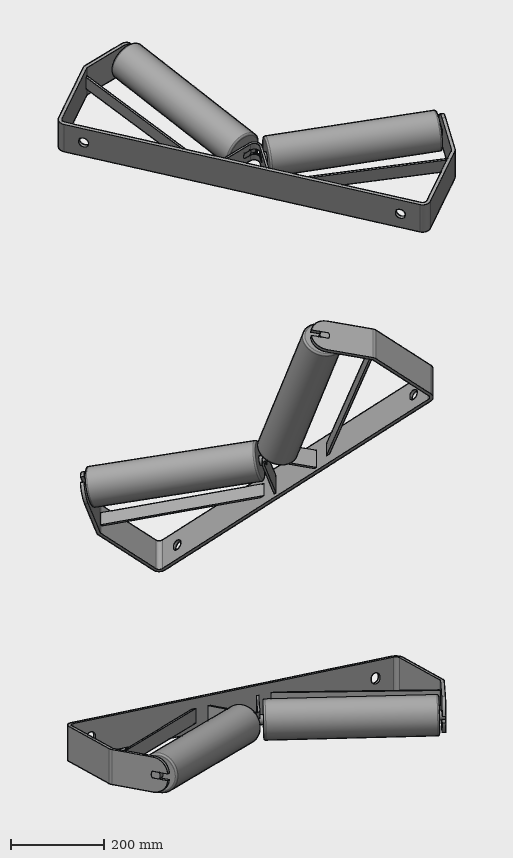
import cadquery as cq
import math

frame_width = 840.0
frame_height = 80.0
frame_thickness = 8.0
corner_radius = 18.0
arm_bend_radius = 15.0
arm_angle = 30.0
arm_bend_y = 188.0
arm_length = 140.0
arm_tip_radius = 35.0
mount_slot_width = 22.0
mount_slot_height = 25.0
mount_slot_inset = 62.0

bracket_thickness = 5.0
bracket_height = 48.0
bracket_bend_radius = 18.0
bracket_half_span = 64.0
bracket_slot_run = 23.0
bracket_slot_reach = 13.0

brace_thickness = 5.0
brace_height = 34.0
brace_foot_x = 94.0

roller_diameter = 89.0
roller_length = 377.0
roller_edge_radius = 4.0
roller_end_gap = 6.0
roller_tilt = 1.0
roller_axis_offset = 64.0
shaft_diameter = 22.0
shaft_flat_width = 15.0

sin_arm = math.sin(math.radians(arm_angle))
cos_arm = math.cos(math.radians(arm_angle))
tilt = math.radians(roller_tilt)

side_outer_x = frame_width / 2
side_inner_x = side_outer_x - frame_thickness
arm_outer = side_outer_x * cos_arm + arm_bend_y * sin_arm
arm_inner = arm_outer - frame_thickness
arm_inner_bend_y = (arm_inner - side_inner_x * cos_arm) / sin_arm
arm_tip = arm_bend_y * cos_arm - side_outer_x * sin_arm + arm_length

leg_outer = bracket_half_span * cos_arm + frame_thickness * sin_arm
leg_inner = leg_outer - bracket_thickness
bracket_z = -(arm_outer - leg_outer) * math.tan(tilt)

SIDES = (1, -1)


def on_side(body, side):
    """The body as built on the right (+X), or its mirror image on the left."""
    return body if side > 0 else body.mirror("YZ")


def along_arm(distance, offset):
    """XY point at a distance out along the right roller and an offset up along its arm."""
    return (distance * cos_arm - offset * sin_arm, distance * sin_arm + offset * cos_arm)


def mirrored_outline(points):
    """Symmetric outline from the points of its right half."""
    return points + [(-x, y) for x, y in reversed(points)]


def upright_plate(points, height):
    """Prism on an XY outline, centred on Z = 0."""
    return cq.Workplane("XY").polyline(points).close().extrude(height / 2, both=True)


def round_edge(body, point, radius):
    return body.edges(cq.selectors.NearestToPointSelector(point)).fillet(radius)


roller_plane = cq.Plane(
    origin=(*along_arm(arm_outer, roller_axis_offset), 0),
    xDir=(sin_arm, -cos_arm, 0),
    normal=(cos_arm * math.cos(tilt), sin_arm * math.cos(tilt), math.sin(tilt)),
)
arm_inner_end = arm_inner - arm_outer
leg_outer_end = leg_outer - arm_outer
leg_inner_end = leg_inner - arm_outer


def cylinder_on_axis(diameter, start, end):
    plane = cq.Workplane(roller_plane).workplane(offset=start)
    return plane.circle(diameter / 2).extrude(end - start)


def slab_on_axis(low, high, start, end):
    """Block as thick as the shaft flats, between two positions along the arm."""
    plane = cq.Workplane(roller_plane).workplane(offset=start)
    return plane.center((low + high) / 2, 0).rect(high - low, shaft_flat_width).extrude(end - start)


def flatted_shaft(start, end):
    flats = slab_on_axis(-shaft_diameter, shaft_diameter, start, end)
    return cylinder_on_axis(shaft_diameter, start, end).intersect(flats)


def shaft_slot(run, start, end):
    """Slot that seats the shaft flats and runs up along the arm from the shaft centre."""
    return flatted_shaft(start, end).union(slab_on_axis(-run, 0, start, end))


def make_roller():
    """Right roller: rounded drum on a round shaft whose two ends are flatted."""
    drum_outer_end = arm_inner_end - roller_end_gap
    drum = cylinder_on_axis(roller_diameter, drum_outer_end - roller_length, drum_outer_end)
    drum = drum.edges().fillet(roller_edge_radius)
    shoulder_gap = shaft_diameter * math.tan(tilt)
    shaft = cylinder_on_axis(shaft_diameter, leg_outer_end + shoulder_gap, arm_inner_end - shoulder_gap)
    return drum.union(shaft).union(flatted_shaft(leg_inner_end, 0))


def make_frame():
    frame = upright_plate(
        mirrored_outline([
            (side_outer_x, 0),
            (side_outer_x, arm_bend_y),
            along_arm(arm_outer, arm_tip),
            along_arm(arm_inner, arm_tip),
            (side_inner_x, arm_inner_bend_y),
            (side_inner_x, frame_thickness),
        ]),
        frame_height,
    )
    tip_x, tip_y = along_arm((arm_outer + arm_inner) / 2, arm_tip)
    slot_overrun = frame_thickness / 2
    arm_slot = shaft_slot(arm_length, arm_inner_end - slot_overrun, slot_overrun)
    for side in SIDES:
        outer_x = side * side_outer_x
        inner_x = side * side_inner_x
        frame = round_edge(frame, (outer_x, 0, 0), corner_radius)
        frame = round_edge(frame, (inner_x, frame_thickness, 0), corner_radius - frame_thickness)
        frame = round_edge(frame, (outer_x, arm_bend_y, 0), arm_bend_radius)
        frame = round_edge(frame, (inner_x, arm_inner_bend_y, 0), arm_bend_radius - frame_thickness)
        for z in (frame_height / 2, -frame_height / 2):
            frame = round_edge(frame, (side * tip_x, tip_y, z), arm_tip_radius)
        frame = frame.cut(on_side(arm_slot, side))

    mount_x = side_outer_x - mount_slot_inset
    mount_slots = (
        cq.Workplane("XZ")
        .pushPoints([(side * mount_x, 0) for side in SIDES])
        .slot2D(mount_slot_height, mount_slot_width, 90)
        .extrude(-frame_thickness)
    )
    return frame.cut(mount_slots)


def make_bracket():
    outer_peak_y = leg_outer / sin_arm
    inner_peak_y = leg_inner / sin_arm
    inner_foot_x = (leg_inner - frame_thickness * sin_arm) / cos_arm
    bracket = upright_plate(
        [
            (bracket_half_span, frame_thickness),
            (0, outer_peak_y),
            (-bracket_half_span, frame_thickness),
            (-inner_foot_x, frame_thickness),
            (0, inner_peak_y),
            (inner_foot_x, frame_thickness),
        ],
        bracket_height,
    )
    bracket = round_edge(bracket, (0, outer_peak_y, 0), bracket_bend_radius)
    bracket = round_edge(bracket, (0, inner_peak_y, 0), bracket_bend_radius - bracket_thickness)
    bracket = bracket.translate((0, 0, bracket_z))

    slot_overrun = bracket_thickness / 2
    leg_slot = shaft_slot(bracket_slot_run, leg_inner_end - bracket_slot_reach, leg_outer_end + slot_overrun)
    for side in SIDES:
        bracket = bracket.cut(on_side(leg_slot, side))
    return bracket


def make_brace(frame):
    """Right brace, from the front bar into the corner of the arm bend, trimmed to the frame there."""
    slope = math.atan2(arm_inner_bend_y - frame_thickness, side_inner_x - brace_foot_x)
    brace = upright_plate(
        [
            (brace_foot_x, frame_thickness),
            (brace_foot_x + brace_thickness / math.sin(slope), frame_thickness),
            (side_inner_x, arm_inner_bend_y - brace_thickness / math.cos(slope)),
            (side_inner_x, arm_inner_bend_y),
        ],
        brace_height,
    )
    return brace.cut(frame)


frame = make_frame()
bracket = make_bracket()
rollers = [on_side(make_roller(), side) for side in SIDES]
braces = [on_side(make_brace(frame), side) for side in SIDES]

result = cq.Compound.makeCompound(
    [frame.val(), bracket.val()]
    + [roller.val() for roller in rollers]
    + [brace.val() for brace in braces]
)